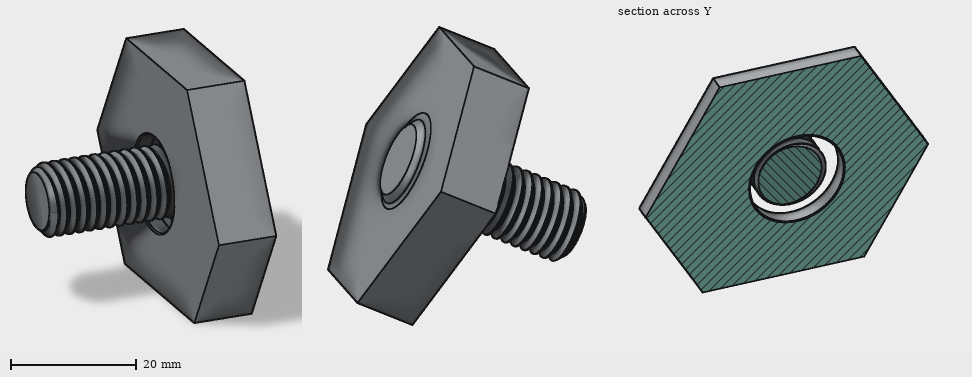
import cadquery as cq
import math


plate_thickness = 10.0
nearest_flat = 18.0
flat_step = 1.0
flat_count = 6
lip_diameter = 16.0
lip_chamfer = 0.25
lip_depth = 2.75

head_diameter = 16.4
head_recess = 4.2
boss_base_radius = 7.15
boss_top_radius = 6.0
boss_height = 1.0
eccentricity = 1.0
eccentric_angle = math.radians(36.87)

thread_diameter = 12.0
pitch = 1.75
thread_projection = 20.6
crest_height = 0.52
tip_radius = 4.7
crest_flat = pitch / 8
flank_half_angle = math.radians(30)
thread_depth = 0.75 * pitch * math.cos(flank_half_angle)
ridge_overlap = 0.05
ridge_embedding = 0.8
trim_margin = 0.5

thread_radius = thread_diameter / 2
core_radius = thread_radius - thread_depth
core_bevel = core_radius - tip_radius
thread_x = eccentricity * math.cos(eccentric_angle)
thread_y = eccentricity * math.sin(eccentric_angle)


def flat_distance(index):
    return nearest_flat + flat_step * (index % flat_count)


def hexagon_corner(index):
    """Point where one flat meets the next, each flat facing 60 degrees clockwise of the one before."""
    turn = 2 * math.pi / flat_count
    facing = -math.pi / 2 - index * turn
    reach = flat_distance(index)
    along = (flat_distance(index + 1) - reach * math.cos(turn)) / math.sin(turn)
    x = reach * math.cos(facing) + along * math.sin(facing)
    y = reach * math.sin(facing) - along * math.cos(facing)
    return (x, y)


def make_washer():
    """Hexagonal plate with a front lip, chamfered at its mouth, and a wider bore behind it for the head."""
    corners = [hexagon_corner(i) for i in range(flat_count)]
    plate = cq.Workplane("XY").polyline(corners).close().extrude(-plate_thickness)
    lip_radius = lip_diameter / 2
    bore_radius = head_diameter / 2
    bore = (
        cq.Workplane("YZ")
        .lineTo(-lip_radius - lip_chamfer, 0)
        .lineTo(-lip_radius, -lip_chamfer)
        .lineTo(-lip_radius, -lip_depth)
        .lineTo(-bore_radius, -lip_depth)
        .lineTo(-bore_radius, -plate_thickness)
        .lineTo(0, -plate_thickness)
        .close()
        .revolve(360, (0, 0, 0), (0, 1, 0))
    )
    return plate.cut(bore)


def make_head():
    """Cylinder filling the bore, with a bevelled boss on its back concentric with the thread."""
    cylinder = (
        cq.Workplane("XY", origin=(0, 0, -plate_thickness))
        .circle(head_diameter / 2).extrude(plate_thickness - head_recess)
    )
    boss = (
        cq.Workplane("XZ")
        .moveTo(0, -plate_thickness)
        .lineTo(boss_base_radius, -plate_thickness)
        .lineTo(boss_top_radius, -plate_thickness - boss_height)
        .lineTo(0, -plate_thickness - boss_height)
        .close()
        .revolve(360, (0, 0, 0), (0, 1, 0))
        .translate((thread_x, thread_y, 0))
    )
    return cylinder.union(boss)


def make_core():
    """Plain root cylinder of the thread, bevelled at the tip, with the thread axis on Z."""
    return (
        cq.Workplane("XY", origin=(0, 0, -head_recess))
        .circle(core_radius).extrude(head_recess + thread_projection)
        .faces(">Z").chamfer(core_bevel)
    )


def make_ridge():
    """Helical ridge sunk slightly into the core, trimmed by a 45 degree bevel that continues the core's."""
    base_radius = core_radius - ridge_overlap
    crest_half = crest_flat / 2
    base_half = crest_half + (thread_radius - base_radius) * math.tan(flank_half_angle)
    bottom = -head_recess - ridge_embedding
    top = thread_projection - core_bevel
    start = crest_height + (math.floor((bottom - crest_height) / pitch) - 1) * pitch
    turns = math.ceil((top - start) / pitch) + 1
    helix = cq.Wire.makeHelix(pitch, turns * pitch, thread_radius, center=cq.Vector(0, 0, start))
    ridge = (
        cq.Workplane("XZ")
        .polyline([
            (base_radius, start - base_half),
            (thread_radius, start - crest_half),
            (thread_radius, start + crest_half),
            (base_radius, start + base_half),
        ])
        .close()
        .sweep(cq.Workplane(helix), isFrenet=True)
    )
    outer_radius = thread_radius + trim_margin
    envelope = (
        cq.Workplane("XY", origin=(0, 0, bottom)).circle(outer_radius).extrude(top - bottom)
        .faces(">Z").chamfer(outer_radius - core_radius)
    )
    return ridge.intersect(envelope)


def make_screw():
    """Head, core and thread ridge fused; the helical faces are left uncleaned to keep the solid valid."""
    thread_offset = (thread_x, thread_y, 0)
    body = make_head().union(make_core().translate(thread_offset))
    return body.union(make_ridge().translate(thread_offset), clean=False)


def stand_facing_front(body):
    return body.rotate((0, 0, 0), (1, 0, 0), 90)


washer = stand_facing_front(make_washer())
screw = stand_facing_front(make_screw())

result = cq.Compound.makeCompound([washer.val(), screw.val()])